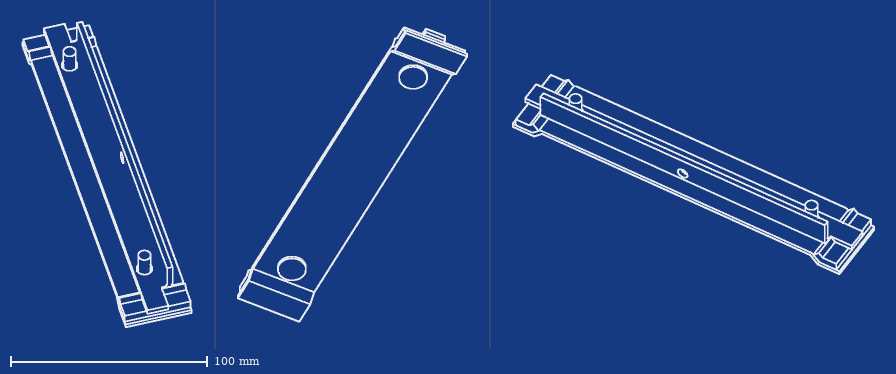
import cadquery as cq
import math

LENGTH = 193.7
WIDTH = 34.9
HEIGHT = 24.2

SHEET_THICKNESS = 2.3
WEB_TOP = 7.0
FOOT_BEND_X = 85.0
BEND_ANGLE = 45.0
BEND_SHIFT = math.tan(math.radians(BEND_ANGLE / 2))
WEB_BEND_RADIUS = SHEET_THICKNESS

PAD_THICKNESS = WEB_TOP - SHEET_THICKNESS
PAD_OUTER_X = 95.0
PAD_SLOPE_RUN = 3.7

BRACKET_THICKNESS = 3.0
BAR_FRONT_Y = -6.0
BAR_BACK_Y = 5.0
WALL_LENGTH = 168.5
WALL_BACK_Y = 10.8
BEND_INNER_RADIUS = 1.7
BEND_OUTER_RADIUS = BEND_INNER_RADIUS + BRACKET_THICKNESS
BAR_TOP = WEB_TOP + BRACKET_THICKNESS
WALL_HOLE_DIAMETER = 5.6
WALL_HOLE_Z = 14.5

SCREW_X = 70.0
SCREW_DIAMETER = 6.4
SCREW_TOP = 20.5
HEAD_DIAMETER = 14.3
HEAD_THICKNESS = 1.5
CLEARANCE_DIAMETER = 8.0

WEB_BOTTOM = WEB_TOP - SHEET_THICKNESS
SCREW_POSITIONS = [(-SCREW_X, 0), (SCREW_X, 0)]


def extrude_across(points):
    """Extrude an XZ outline over the full width, centred on Y = 0."""
    return cq.Workplane("XZ").polyline(points).close().extrude(WIDTH / 2, both=True)


def make_sheet():
    """Bent carrier sheet with a fitting hole for each screw."""
    half = LENGTH / 2
    web_bend_x = FOOT_BEND_X - WEB_BOTTOM / math.tan(math.radians(BEND_ANGLE))
    shift = SHEET_THICKNESS * BEND_SHIFT
    right_half = [
        (web_bend_x - shift, WEB_BOTTOM),
        (FOOT_BEND_X - shift, 0),
        (half, 0),
        (half, SHEET_THICKNESS),
        (FOOT_BEND_X, SHEET_THICKNESS),
        (web_bend_x, WEB_TOP),
    ]
    left_half = [(-x, z) for x, z in reversed(right_half)]
    sheet = extrude_across(right_half + left_half)
    for side in (-1, 1):
        corner = cq.selectors.NearestToPointSelector((side * web_bend_x, 0, WEB_TOP))
        sheet = sheet.edges("|Y").edges(corner).fillet(WEB_BEND_RADIUS)
    holes = (
        cq.Workplane("XY").workplane(offset=WEB_BOTTOM)
        .pushPoints(SCREW_POSITIONS).circle(SCREW_DIAMETER / 2).extrude(SHEET_THICKNESS)
    )
    return sheet.cut(holes)


def make_bracket():
    """Bar and upright wall joined by a rounded bend, with screw and wall holes."""
    bar = cq.Workplane("XY").box(
        LENGTH, BAR_BACK_Y - BAR_FRONT_Y, BRACKET_THICKNESS, centered=(True, False, False)
    ).translate((0, BAR_FRONT_Y, WEB_TOP))

    wall_front_y = WALL_BACK_Y - BRACKET_THICKNESS
    bend_y = WALL_BACK_Y - BEND_OUTER_RADIUS
    bend_z = WEB_TOP + BEND_OUTER_RADIUS
    angle = (
        cq.Workplane("YZ").workplane(offset=-WALL_LENGTH / 2)
        .moveTo(BAR_FRONT_Y, WEB_TOP)
        .lineTo(bend_y, WEB_TOP)
        .radiusArc((WALL_BACK_Y, bend_z), -BEND_OUTER_RADIUS)
        .lineTo(WALL_BACK_Y, HEIGHT)
        .lineTo(wall_front_y, HEIGHT)
        .lineTo(wall_front_y, bend_z)
        .radiusArc((bend_y, BAR_TOP), BEND_INNER_RADIUS)
        .lineTo(BAR_FRONT_Y, BAR_TOP)
        .close().extrude(WALL_LENGTH)
    )

    screw_holes = (
        cq.Workplane("XY").workplane(offset=WEB_TOP)
        .pushPoints(SCREW_POSITIONS).circle(CLEARANCE_DIAMETER / 2).extrude(BRACKET_THICKNESS)
    )
    wall_hole = (
        cq.Workplane("XZ", origin=(0, WALL_BACK_Y, WALL_HOLE_Z))
        .circle(WALL_HOLE_DIAMETER / 2).extrude(BRACKET_THICKNESS)
    )
    return bar.union(angle).cut(screw_holes).cut(wall_hole)


def make_pad(side, bracket):
    """Bent pad on one foot (side is -1 or +1), recessed where the bracket crosses it."""
    angle = math.radians(BEND_ANGLE)
    end_x = FOOT_BEND_X - PAD_SLOPE_RUN
    end_z = SHEET_THICKNESS + PAD_SLOPE_RUN * math.tan(angle)
    outline = [
        (PAD_OUTER_X, SHEET_THICKNESS),
        (FOOT_BEND_X, SHEET_THICKNESS),
        (end_x, end_z),
        (end_x + PAD_THICKNESS * math.sin(angle), end_z + PAD_THICKNESS * math.cos(angle)),
        (FOOT_BEND_X + PAD_THICKNESS * BEND_SHIFT, WEB_TOP),
        (PAD_OUTER_X, WEB_TOP),
    ]
    return extrude_across([(side * x, z) for x, z in outline]).cut(bracket)


def make_screw(position):
    """Round-headed screw, head against the underside of the web."""
    head = cq.Workplane("XY").circle(HEAD_DIAMETER / 2).extrude(-HEAD_THICKNESS)
    shank = cq.Workplane("XY").circle(SCREW_DIAMETER / 2).extrude(SCREW_TOP - WEB_BOTTOM)
    return head.union(shank).translate((*position, WEB_BOTTOM))


sheet = make_sheet()
bracket = make_bracket()
pads = [make_pad(side, bracket) for side in (-1, 1)]
screws = [make_screw(position) for position in SCREW_POSITIONS]

result = cq.Compound.makeCompound(
    [sheet.val(), bracket.val()]
    + [pad.val() for pad in pads]
    + [screw.val() for screw in screws]
)